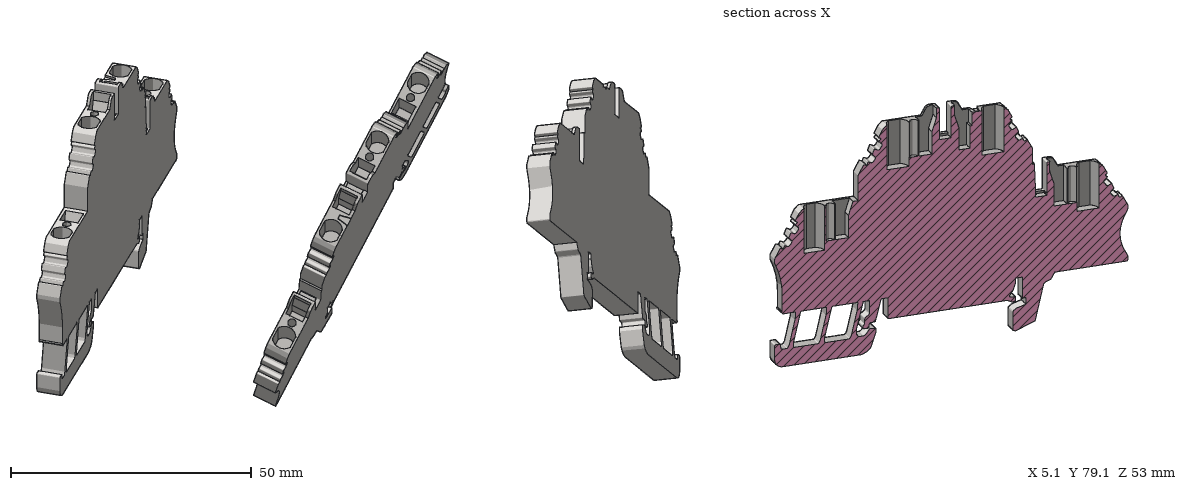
import cadquery as cq
import math

thickness = 5.1
half_length = 39.53

base_z = 11.88
root_z = base_z + 1.0
hub_z = 7.16
tier_step = 15.95
upper_plateau_z = 50.85
lower_plateau_z = upper_plateau_z - tier_step
tower_rise = 2.13

shoulder_reach = 6.36
shoulder_drop = 10.3
shoulder_tip_radius = 0.15
groove_radius = 0.45
shoulder_corners = [
    (0.0, 0.0, 0.4),
    (0.9, 0.85, 0.8),
    (1.8, 2.5, shoulder_tip_radius),
    (1.25, 2.9, 0),
    (1.85, 3.4, shoulder_tip_radius),
    (0.85, 4.15, groove_radius),
    (1.65, 5.4, groove_radius),
    (2.7, 4.85, shoulder_tip_radius),
    (3.25, 6.15, shoulder_tip_radius),
    (2.35, 6.9, groove_radius),
    (3.15, 8.0, groove_radius),
    (4.1, 7.55, shoulder_tip_radius),
    (4.45, 8.3, 0),
    (5.1, 8.05, shoulder_tip_radius),
    (shoulder_reach, shoulder_drop, 0.5),
]

lower_edge = half_length - shoulder_reach
upper_center = -1.3
upper_half_plateau = 13.2
upper_edges = (upper_center + upper_half_plateau, upper_center - upper_half_plateau)
upper_side = upper_half_plateau + shoulder_reach

slot_width = 2.48
lower_slot_floor_width = 2.38
lower_slot_draft = 0.3
upper_slot_depth = 6.65
lower_slot_depth = 7.0
upper_slot_floor_z = upper_plateau_z + tower_rise - upper_slot_depth
lower_slot_floor_z = lower_plateau_z + tower_rise - lower_slot_depth
lower_slot_y = 21.32
lower_slot_wall_y = lower_slot_y - lower_slot_floor_width
upper_slot = (upper_center + slot_width / 2, upper_center - slot_width / 2)
tower_length = 3.33
tower_crest = 2.2
tower_crest_length = 1.5
tower_shoulder_drop = 0.2
tower_edge_radius = 0.3

recess_x = (-1.55, 2.03)
recess_depth = 0.5

wire_hole_inset = 2.58
wire_hole_width = 4.1
wire_hole_length = 4.8
short_wire_hole_length = 4.5
wire_hole_depth = 10.0
test_hole_inset = 6.12
test_hole_diameter = 1.7
test_hole_depth = 8.0
pocket_insets = (7.3, 11.15)
pocket_x = (-1.86, 2.04)
pocket_depth = 8.0
pocket_slope_run = 1.0
pocket_slope_drop = 3.0
ledge_width = 0.45
ledge_drop = 3.0

notch_inset = 6.0
notch_mouth = 1.7
notch_throat = 0.8
notch_reach = 2.45
notch_depth = 0.45

web_pitch = 6.95
window_count = 2
window_floor_z = 4.07
foot_start = -16.8


def rounded_wire(corners):
    """Closed YZ wire through (y, z, radius) corners; radius 0 leaves a corner sharp."""
    entries = []
    for i, (y, z, radius) in enumerate(corners):
        here = cq.Vector(y, z)
        to_last = (cq.Vector(*corners[i - 1][:2]) - here).normalized()
        to_next = (cq.Vector(*corners[(i + 1) % len(corners)][:2]) - here).normalized()
        if radius == 0:
            entries.append((here, None, here))
            continue
        half_angle = to_last.getAngle(to_next) / 2
        setback = radius / math.tan(half_angle)
        bisector = (to_last + to_next).normalized()
        middle = here + bisector * (radius / math.sin(half_angle) - radius)
        entries.append((here + to_last * setback, middle, here + to_next * setback))

    first_end = entries[0][2]
    wire = cq.Workplane("YZ").moveTo(first_end.x, first_end.y)
    for start, middle, end in entries[1:] + entries[:1]:
        wire = wire.lineTo(start.x, start.y)
        if middle is not None:
            wire = wire.threePointArc((middle.x, middle.y), (end.x, end.y))
    return wire.close()


def plate(corners):
    """Full-thickness plate with the given rounded outline."""
    return rounded_wire(corners).extrude(thickness / 2, both=True)


def box(x_range, y_range, z_range):
    """Axis-aligned box between pairs of limits; the y limits may come in either order."""
    y_low, y_high = sorted(y_range)
    size = (x_range[1] - x_range[0], y_high - y_low, z_range[1] - z_range[0])
    return cq.Workplane("XY").box(*size, centered=False).translate((x_range[0], y_low, z_range[0]))


def shoulder(edge_y, plateau_z, side):
    """Serrated corners from the plateau edge outward; side is +1 for +Y and -1 for -Y."""
    return [(edge_y + side * out, plateau_z - down, r) for out, down, r in shoulder_corners]


def tower(slot_y, plateau_z, side):
    """Tower corners from the ramp foot to the slot; the ramp faces the given side."""
    top_z = plateau_z + tower_rise
    return [
        (slot_y + side * tower_length, plateau_z, 0),
        (slot_y + side * tower_crest, top_z - tower_shoulder_drop, 0.6),
        (slot_y + side * tower_crest_length, top_z, 0.4),
        (slot_y, top_z, tower_edge_radius),
    ]


def lower_tier():
    """Lower tier with one tower, a tapered slot and two concave ends."""
    tier_side = upper_center + upper_side
    slot_top_z = lower_plateau_z + tower_rise
    right_wall_y = -37.87
    corners = shoulder(lower_edge, lower_plateau_z, 1)[::-1]
    corners += tower(lower_slot_y, lower_plateau_z, 1)
    corners += [
        (lower_slot_y, lower_slot_floor_z, 0.15),
        (lower_slot_wall_y, lower_slot_floor_z, 0.15),
        (lower_slot_wall_y - lower_slot_draft, slot_top_z, 0),
        (tier_side, slot_top_z, 0),
        (tier_side, lower_plateau_z, 0),
    ]
    corners += shoulder(-lower_edge, lower_plateau_z, -1)
    corners += [
        (-half_length, 23.6, 0.2),
        (right_wall_y, 20.05, 16.5),
        (right_wall_y, 12.6, 0),
        (right_wall_y - 0.2, 12.35, 0),
        (right_wall_y + 0.3, base_z, 0),
        (half_length, base_z, 0.4),
        (half_length, 13.1, 0.4),
        (36.75, 18.2, 8.0),
        (half_length, 23.65, 0.6),
    ]
    return plate(corners)


def upper_tier():
    """Upper tier, symmetric about its central slot."""
    corners = [(upper_center + upper_side, base_z, 0)]
    corners += shoulder(upper_edges[0], upper_plateau_z, 1)[::-1]
    corners += tower(upper_slot[0], upper_plateau_z, 1)
    corners += [
        (upper_slot[0], upper_slot_floor_z, 0),
        (upper_slot[1], upper_slot_floor_z, 0),
    ]
    corners += tower(upper_slot[1], upper_plateau_z, -1)[::-1]
    corners += shoulder(upper_edges[1], upper_plateau_z, -1)
    corners.append((upper_center - upper_side, base_z, 0))
    return plate(corners)


def hub():
    """Flat-bottomed block between the feet, with a small catch on its +Y side."""
    hub_side = -14.2
    return plate([
        (14.4, root_z, 0),
        (14.4, 10.8, 0),
        (13.9, 9.3, 0.5),
        (13.0, 8.05, 0.15),
        (13.3, 7.87, 0.1),
        (14.4, 7.87, 0.2),
        (14.4, 6.85, 0.3),
        (13.7, 6.55, 0.3),
        (12.5, hub_z, 0.3),
        (hub_side, hub_z, 0.3),
        (hub_side, root_z, 0),
    ])


def hook_leg():
    """Fixed leg on the +Y side that hooks under the rail edge."""
    return plate([
        (15.9, root_z, 0),
        (23.17, root_z, 0),
        (23.17, base_z, 0),
        (22.3, 10.45, 0.5),
        (20.75, 9.85, 0.8),
        (18.8, 1.6, 0.2),
        (14.3, 0, 0.15),
        (13.7, 0.3, 0.4),
        (13.7, 4.6, 0.6),
        (14.6, 5.2, 0.6),
        (16.65, 5.75, 0),
        (16.65, hub_z, 0),
        (15.9, hub_z, 0),
    ])


def spring_finger():
    """Short snap finger next to the sprung foot."""
    return plate([
        (-15.63, root_z, 0),
        (-15.63, base_z, 0),
        (-16.95, 6.9, 0.3),
        (-18.25, 6.9, 0.2),
        (-18.35, 5.72, 0.4),
        (-19.75, 5.72, 0.3),
        (-19.75, 6.5, 0.2),
        (-19.4, 6.9, 0.2),
        (-19.4, 8.1, 0.4),
        (-18.3, 9.0, 0.5),
        (-18.3, root_z, 0),
    ])


def web_flank(index):
    """Far-side corners of a web, from the base down to the foot."""
    shift = index * web_pitch
    return [
        (-20.95 - shift, base_z, 0),
        (-21.0 - shift, 10.6, 7.0),
        (-22.4 - shift, 4.7, 0.2),
        (-22.75 - shift, window_floor_z, 0.2),
    ]


def sprung_foot():
    """Foot bar joined to the base by equally spaced inclined webs."""
    last_flank = web_flank(window_count)
    corners = [
        (-19.62, base_z, 0),
        (-21.1, 6.2, 0.8),
        (-21.1, 4.25, 0.7),
        (-19.3, 4.25, 0.8),
        (-18.2, 5.75, 0.3),
        (foot_start, 5.5, 0.2),
        (foot_start, 4.5, 0.5),
        (-18.1, 0.8, 2.5),
        (-20.0, 0, 1.0),
        (-half_length, 0, 1.9),
        (-half_length, 5.3, 0.3),
        (-38.2, 5.3, 0.3),
        (-38.0, window_floor_z, 0.2),
    ]
    corners += last_flank[::-1]
    foot = plate(corners)
    for index in range(window_count):
        shift = index * web_pitch
        window = web_flank(index)
        window += [
            (-28.3 - shift, window_floor_z, 0.15),
            (-28.3 - shift, 5.0, 0.8),
            (-26.65 - shift, base_z, 0.3),
        ]
        foot = foot.cut(plate(window))
    return foot


def wire_hole(y, plateau_z, length):
    """Round hole along Z with flats on both X sides."""
    bore = cq.Workplane("XY").circle(length / 2).extrude(wire_hole_depth)
    flats = cq.Workplane("XY").rect(wire_hole_width, length).extrude(wire_hole_depth)
    return bore.intersect(flats).translate((0, y, plateau_z - wire_hole_depth))


def test_hole(y, plateau_z):
    """Small round hole between the wire hole and the pocket."""
    bore = cq.Workplane("XY").circle(test_hole_diameter / 2).extrude(test_hole_depth)
    return bore.translate((0, y, plateau_z - test_hole_depth))


def pocket(edge_y, plateau_z, side):
    """Rectangular pocket whose inner wall slopes outward below the plateau."""
    outer_y = edge_y - side * pocket_insets[0]
    inner_y = edge_y - side * pocket_insets[1]
    top_z = plateau_z + tower_rise
    floor_z = plateau_z - pocket_depth
    foot_y = inner_y + side * pocket_slope_run
    profile = [
        (outer_y, top_z),
        (inner_y, top_z),
        (inner_y, plateau_z),
        (foot_y, plateau_z - pocket_slope_drop),
        (foot_y, floor_z),
        (outer_y, floor_z),
    ]
    opening = cq.Workplane("YZ").polyline(profile).close().extrude(pocket_x[1] - pocket_x[0])
    return opening.translate((pocket_x[0], 0, 0))


def pocket_ledge(edge_y, plateau_z, side):
    """Sunken ledge left standing along the outer wall of a pocket."""
    outer_y = edge_y - side * pocket_insets[0]
    z_range = (plateau_z - pocket_depth, plateau_z - ledge_drop)
    return box(pocket_x, (outer_y, outer_y - side * ledge_width), z_range)


def funnel_notch(y, plateau_z):
    """Shallow notch that narrows from the -X side toward the middle."""
    side_x = -thickness / 2
    end_x = side_x + notch_reach
    profile = [
        (side_x, y - notch_mouth / 2),
        (end_x, y - notch_throat / 2),
        (end_x, y + notch_throat / 2),
        (side_x, y + notch_mouth / 2),
    ]
    notch = cq.Workplane("XY").polyline(profile).close().extrude(notch_depth)
    return notch.translate((0, 0, plateau_z - notch_depth))


def slot_recess(y_range, floor_z):
    """Shallow recess in a slot floor."""
    return box(recess_x, y_range, (floor_z - recess_depth, floor_z))


result = lower_tier()
for section in (upper_tier(), hub(), hook_leg(), spring_finger(), sprung_foot()):
    result = result.union(section)

terminals = [
    (lower_edge, lower_plateau_z, 1, wire_hole_length, True),
    (upper_edges[0], upper_plateau_z, 1, wire_hole_length, False),
    (upper_edges[1], upper_plateau_z, -1, wire_hole_length, True),
    (-lower_edge, lower_plateau_z, -1, short_wire_hole_length, True),
]
for edge_y, plateau_z, side, hole_length, has_test_hole in terminals:
    result = result.cut(wire_hole(edge_y - side * wire_hole_inset, plateau_z, hole_length))
    result = result.cut(pocket(edge_y, plateau_z, side))
    if has_test_hole:
        result = result.cut(test_hole(edge_y - side * test_hole_inset, plateau_z))

result = result.union(pocket_ledge(upper_edges[0], upper_plateau_z, 1))
result = result.cut(funnel_notch(upper_edges[0] - notch_inset, upper_plateau_z))

result = result.cut(slot_recess(upper_slot, upper_slot_floor_z))
result = result.cut(slot_recess((lower_slot_wall_y, lower_slot_y), lower_slot_floor_z))